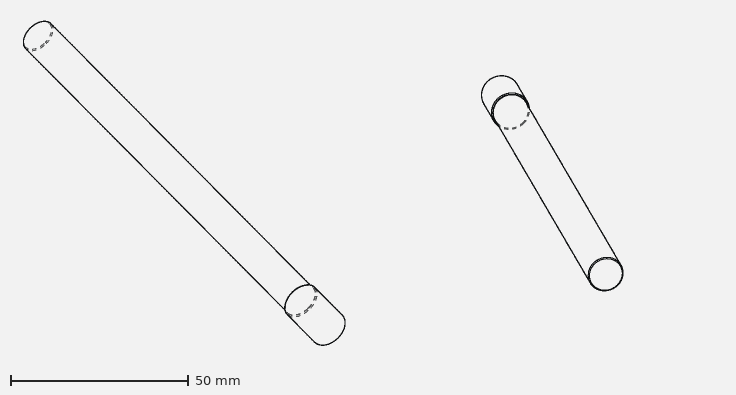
import cadquery as cq

length = 150.0
shaft_diameter = 10.0
shaft_chamfer = 0.3
head_diameter = 11.0
head_length = 15.5
tip_fillet = 1.0
shoulder_chamfer = 0.3

start_x = -length / 2
end_x = length / 2
head_start_x = end_x - head_length


def rod(from_x, to_x, diameter):
    """Solid cylinder along X between two positions."""
    return cq.Workplane("YZ", origin=(from_x, 0, 0)).circle(diameter / 2).extrude(to_x - from_x)


shaft = rod(start_x, head_start_x, shaft_diameter).faces("<X").chamfer(shaft_chamfer)

head = (
    rod(head_start_x, end_x, head_diameter)
    .faces("<X")
    .chamfer(shoulder_chamfer)
    .faces(">X")
    .edges()
    .fillet(tip_fillet)
)

result = shaft.union(head)